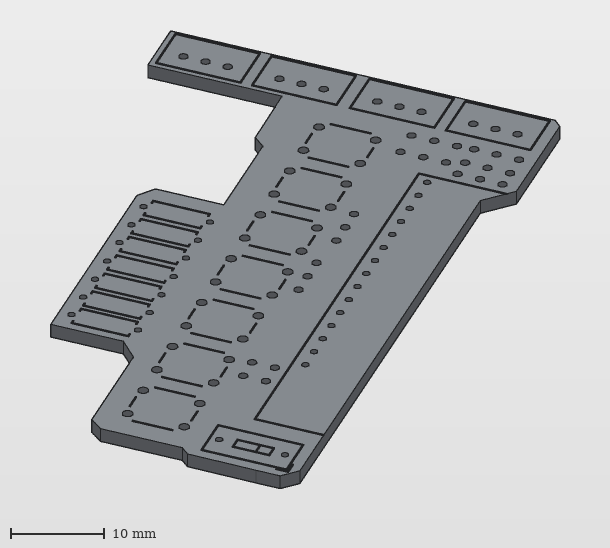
import cadquery as cq

board_width = 45.0
board_length = 70.6
board_thickness = 1.7

line_width = 0.15
line_depth = 0.1

lead_drill = 0.8
pin_drill = 1.0
switch_drill = 1.1


top_corner = 0.85

arm_bottom = 63.95
edge_bend = 0.1
neck_left = 15.45
neck_bend_y = 57.55
neck_step_top = 56.0
neck_step_bottom = 54.8
neck_step_left = 16.8

tab_left = 7.55
tab_top = 43.4
tab_bottom = 16.5
tab_corner_x = 1.4
tab_corner_y = 1.85
tab_bottom_end = 15.9

foot_left = 17.9
foot_top = 14.25
foot_bottom = 0.9
foot_corner_x = 1.5
foot_corner_y = 1.2
toe_left = 29.7
toe_bend_x = 37.6
toe_corner = 1.6

right_edge = 42.0
shoulder_top = 57.1
shoulder_bottom = shoulder_top - (board_width - right_edge)

outline = [
    (0, board_length),
    (board_width - top_corner, board_length),
    (board_width, board_length - top_corner),
    (board_width, shoulder_top),
    (right_edge, shoulder_bottom),
    (right_edge, toe_corner),
    (right_edge - toe_corner, 0),
    (toe_bend_x, 0),
    (toe_left, edge_bend),
    (toe_left - foot_bottom, foot_bottom),
    (foot_left + foot_corner_x, foot_bottom),
    (foot_left, foot_bottom + foot_corner_y),
    (foot_left, foot_top),
    (tab_bottom_end, tab_bottom),
    (tab_left, tab_bottom),
    (tab_left, tab_top - tab_corner_y),
    (tab_left + tab_corner_x, tab_top),
    (neck_step_left, tab_top),
    (neck_step_left, neck_step_bottom),
    (neck_left, neck_step_top),
    (neck_left, neck_bend_y),
    (neck_left - edge_bend, arm_bottom),
    (0, arm_bottom),
]
board = cq.Workplane("XY").polyline(outline).close().extrude(board_thickness)


def drill(points, diameter):
    """Through holes at the given points."""
    holes = cq.Workplane("XY").pushPoints(points).circle(diameter / 2).extrude(board_thickness)
    return holes.vals()


def line(x_start, y_start, x_end, y_end):
    """Groove along an X or Y line, with square ends half a line width past its end points."""
    length_x = abs(x_end - x_start) + line_width
    length_y = abs(y_end - y_start) + line_width
    centre = ((x_start + x_end) / 2, (y_start + y_end) / 2, board_thickness - line_depth)
    return cq.Workplane("XY").box(length_x, length_y, line_depth, (True, True, False)).translate(centre).val()


def frame(left, bottom, right, top):
    """Four grooves around a rectangle."""
    return [
        line(left, bottom, right, bottom),
        line(left, top, right, top),
        line(left, bottom, left, top),
        line(right, bottom, right, top),
    ]


def spread(first, last, count):
    """Evenly spaced values from first to last."""
    return [first + (last - first) * i / (count - 1) for i in range(count)]


def grid(columns, rows):
    """Every combination of the given X and Y values."""
    return [(x, y) for x in columns for y in rows]


cuts = []

pot_centres = [5.5, 16.5, 27.75, 38.75]
pot_hole_y = 66.8
pot_pitch = 2.55
pot_width = 9.7
pot_bottom = 64.7
pot_top = 70.3

for pot_x in pot_centres:
    cuts += drill(grid([pot_x - pot_pitch, pot_x, pot_x + pot_pitch], [pot_hole_y]), pin_drill)
    cuts += frame(pot_x - pot_width / 2, pot_bottom, pot_x + pot_width / 2, pot_top)

button_count = 7
button_x = 24.35
button_rows = spread(57.95, 6.8, button_count)
button_hole_dx = 3.25
button_hole_dy = 2.25
button_side_dx = 3.5
button_end_dy = 3.25
button_end_half = 2.25
button_side_half = 0.85

for button_y in button_rows:
    hole_columns = [button_x - button_hole_dx, button_x + button_hole_dx]
    hole_rows = [button_y - button_hole_dy, button_y + button_hole_dy]
    cuts += drill(grid(hole_columns, hole_rows), switch_drill)
    for side in (-1, 1):
        end_y = button_y + side * button_end_dy
        side_x = button_x + side * button_side_dx
        cuts.append(line(button_x - button_end_half, end_y, button_x + button_end_half, end_y))
        cuts.append(line(side_x, button_y - button_side_half, side_x, button_y + button_side_half))

resistor_rows = [39.95, 36.4, 33.0, 29.4, 25.85, 22.4, 19.0]
resistor_x = 12.8
resistor_hole_dx = 3.8
resistor_half_length = 3.25
resistor_width = 2.75
resistor_tick = 0.35

for resistor_y in resistor_rows:
    leads = [resistor_x - resistor_hole_dx, resistor_x + resistor_hole_dx]
    cuts += drill(grid(leads, [resistor_y]), lead_drill)
    left = resistor_x - resistor_half_length
    right = resistor_x + resistor_half_length
    for side in (-1, 1):
        edge_y = resistor_y + side * resistor_width / 2
        tick_y = edge_y - side * resistor_tick
        cuts.append(line(left, edge_y, right, edge_y))
        cuts.append(line(left, edge_y, left, tick_y))
        cuts.append(line(right, edge_y, right, tick_y))

module_pin_x = 35.5
module_pin_count = 15
module_pin_top = 55.15
module_pin_bottom = 19.7
module_left = 34.1
module_top = 56.35
module_bottom = 8.6

module_pins = grid([module_pin_x], spread(module_pin_top, module_pin_bottom, module_pin_count))
cuts += drill(module_pins, lead_drill)
cuts.append(line(module_left, module_bottom, module_left, module_top))
cuts.append(line(module_left, module_top, board_width, module_top))
cuts.append(line(module_left, module_bottom, right_edge, module_bottom))

slide_left = 30.85
slide_right = 40.6
slide_bottom = 1.35
slide_top = 6.15
slide_hole_columns = [31.9, 39.5]
slide_hole_y = 3.75
slot_left = 33.75
slot_right = 37.9
slot_bottom = 3.1
slot_top = 4.45
slot_divider_x = 36.35
mark_offset = 0.3
mark_length = 1.35

cuts += drill(grid(slide_hole_columns, [slide_hole_y]), lead_drill)
cuts += frame(slide_left, slide_bottom, slide_right, slide_top)
cuts += frame(slot_left, slot_bottom, slot_right, slot_top)
cuts.append(line(slot_divider_x, slot_bottom, slot_divider_x, slot_top))
mark_x = slide_right + mark_offset
mark_y = slide_bottom - mark_offset
cuts.append(line(mark_x, mark_y, mark_x, mark_y + mark_length))
cuts.append(line(mark_x - mark_length, mark_y, mark_x, mark_y))

corner_block = grid(spread(38.0, 43.15, 3), [62.55, 59.95, 57.75])
corner_double_row = grid(spread(30.85, 36.1, 3), [62.4, 59.2])
upper_column = grid([30.35], spread(46.95, 41.8, 3))
middle_column = grid([29.85], spread(37.3, 32.05, 3))
lower_square = grid([30.1, 32.7], [18.0, 15.4])

for group in (corner_block, corner_double_row, upper_column, middle_column, lower_square):
    cuts += drill(group, pin_drill)

result = board.newObject([board.val().cut(*cuts)])